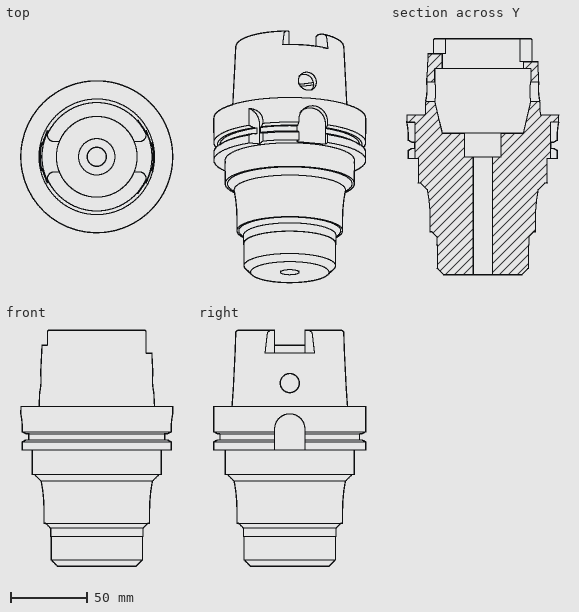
import cadquery as cq
import math

total_height = 155.2
collar_bottom_z = 76.4
collar_top_z = 105.2

shank_base_radius = 38.0
shank_taper = 1 / 20
shank_edge_radius = 2.0

collar_radius = 50.0
groove_radius = 46.0
groove_bottom_z = 83.2
groove_top_z = 87.0
groove_bevel = 1.4

body_radius = 42.5
body_bottom_z = 60.4
body_cone_top_radius = 41.0
waist_top_radius = 36.6
waist_top_z = 56.0
waist_radius = 34.8
waist_arc_bottom_z = 36.6
waist_bottom_z = 28.2
nose_cone_top_radius = 33.5
nose_top_radius = 30.4
nose_top_z = 25.1
nose_radius = 30.1
nose_shoulder_z = 19.5
nose_chamfer = 4.3

mouth_radius = 26.5
mouth_bottom_z = 135.5
clamp_radius = 31.5
clamp_bottom_z = 114.7
bore_floor_z = 93.1
thread_hole_radius = 12.0
thread_hole_depth = 15.5
coolant_radius = 6.2

cross_hole_radius = 6.2
cross_hole_z = 120.5

slot_half_width = 10.0
slot_corner_radius = 4.5
slot_relief_x = 32.5
slot_floor_left_z = 145.5
slot_floor_right_z = 140.1

notch_radius = 10.0
notch_top_z = 100.3
keyway_floor_x = 44.5
side_notch_floor_x = 31.7
side_notch_y = 41.5


def make_body():
    """Solid of revolution: nose, waist, body, grooved collar and tapered shank."""
    rim_radius = shank_base_radius - shank_taper * (total_height - collar_top_z)
    waist_drop = waist_top_z - waist_arc_bottom_z
    waist_flare = waist_top_radius - waist_radius
    arc_radius = (waist_drop**2 + waist_flare**2) / (2 * waist_flare)
    half_angle = math.asin(waist_drop / arc_radius) / 2
    arc_mid = (
        waist_radius + arc_radius * (1 - math.cos(half_angle)),
        waist_arc_bottom_z + arc_radius * math.sin(half_angle),
    )
    bevel_radius = collar_radius - groove_bevel * math.sqrt(3)
    profile = (
        cq.Workplane("XZ")
        .moveTo(0, 0)
        .lineTo(nose_radius - nose_chamfer, 0)
        .lineTo(nose_radius, nose_chamfer)
        .lineTo(nose_radius, nose_shoulder_z)
        .lineTo(nose_top_radius, nose_shoulder_z)
        .lineTo(nose_top_radius, nose_top_z)
        .lineTo(nose_cone_top_radius, waist_bottom_z)
        .lineTo(waist_radius, waist_bottom_z)
        .lineTo(waist_radius, waist_arc_bottom_z)
        .threePointArc(arc_mid, (waist_top_radius, waist_top_z))
        .lineTo(body_cone_top_radius, body_bottom_z)
        .lineTo(body_radius, body_bottom_z)
        .lineTo(body_radius, collar_bottom_z)
        .lineTo(collar_radius, collar_bottom_z)
        .lineTo(collar_radius, groove_bottom_z - groove_bevel)
        .lineTo(bevel_radius, groove_bottom_z)
        .lineTo(groove_radius, groove_bottom_z)
        .lineTo(groove_radius, groove_top_z)
        .lineTo(bevel_radius, groove_top_z)
        .lineTo(collar_radius, groove_top_z + groove_bevel)
        .lineTo(collar_radius, collar_top_z)
        .lineTo(shank_base_radius, collar_top_z)
        .lineTo(rim_radius, total_height)
        .lineTo(0, total_height)
        .close()
    )
    body = profile.revolve(360, (0, 0, 0), (0, 1, 0))
    return body.faces(">Z").edges().fillet(shank_edge_radius)


def make_bore():
    """Undercut clamping bore, thread hole and coolant hole along the axis."""
    thread_bottom_z = bore_floor_z - thread_hole_depth
    return (
        cq.Workplane("XZ")
        .moveTo(0, 0)
        .lineTo(coolant_radius, 0)
        .lineTo(coolant_radius, thread_bottom_z)
        .lineTo(thread_hole_radius, thread_bottom_z)
        .lineTo(thread_hole_radius, bore_floor_z)
        .lineTo(mouth_radius, bore_floor_z)
        .lineTo(clamp_radius, clamp_bottom_z)
        .lineTo(clamp_radius, mouth_bottom_z)
        .lineTo(mouth_radius, mouth_bottom_z)
        .lineTo(mouth_radius, total_height)
        .lineTo(0, total_height)
        .close()
        .revolve(360, (0, 0, 0), (0, 1, 0))
    )


def make_cross_hole():
    """Round hole along X through both walls of the shank."""
    return (
        cq.Workplane("YZ")
        .center(0, cross_hole_z)
        .circle(cross_hole_radius)
        .extrude(collar_radius, both=True)
    )


def make_drive_slot(side, floor_z):
    """Rim slot on the +X (side = 1) or -X (side = -1) wall, flaring outwards round its corners."""
    flare_half_width = slot_half_width + slot_corner_radius
    throat_x = slot_relief_x - slot_corner_radius
    arc_offset = slot_corner_radius * math.sqrt(0.5)
    arc_mid_x = throat_x + arc_offset
    arc_mid_y = flare_half_width - arc_offset
    return (
        cq.Workplane("XY", origin=(0, 0, floor_z))
        .moveTo(0, -slot_half_width)
        .lineTo(side * throat_x, -slot_half_width)
        .threePointArc((side * arc_mid_x, -arc_mid_y), (side * slot_relief_x, -flare_half_width))
        .lineTo(side * slot_relief_x, -collar_radius)
        .lineTo(side * collar_radius, -collar_radius)
        .lineTo(side * collar_radius, collar_radius)
        .lineTo(side * slot_relief_x, collar_radius)
        .lineTo(side * slot_relief_x, flare_half_width)
        .threePointArc((side * arc_mid_x, arc_mid_y), (side * throat_x, slot_half_width))
        .lineTo(0, slot_half_width)
        .close()
        .extrude(total_height - floor_z)
    )


def make_notch(side, floor_x, center_y):
    """Round-topped notch milled along X, open at the underside of the collar."""
    arch_z = notch_top_z - notch_radius
    return (
        cq.Workplane("YZ", origin=(side * floor_x, 0, 0))
        .moveTo(center_y - notch_radius, collar_bottom_z)
        .lineTo(center_y - notch_radius, arch_z)
        .threePointArc((center_y, notch_top_z), (center_y + notch_radius, arch_z))
        .lineTo(center_y + notch_radius, collar_bottom_z)
        .close()
        .extrude(side * collar_radius)
    )


result = (
    make_body()
    .cut(make_bore())
    .cut(make_cross_hole())
    .cut(make_drive_slot(-1, slot_floor_left_z))
    .cut(make_drive_slot(1, slot_floor_right_z))
    .cut(make_notch(-1, keyway_floor_x, 0))
    .cut(make_notch(1, keyway_floor_x, 0))
    .cut(make_notch(-1, side_notch_floor_x, side_notch_y))
)